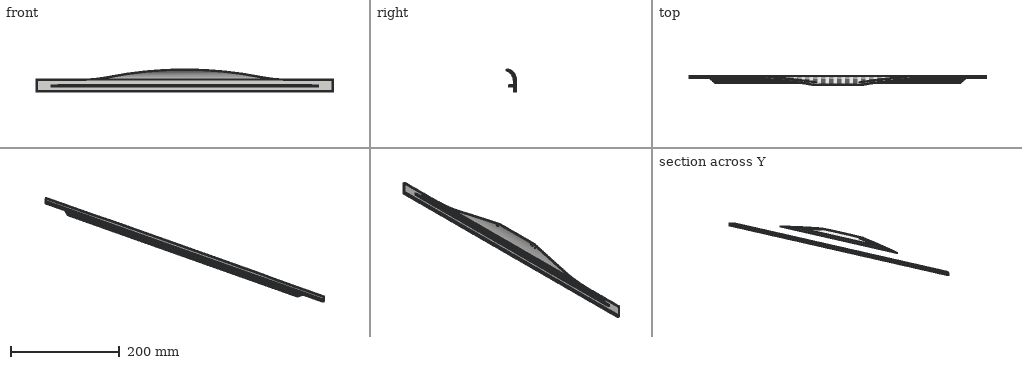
import cadquery as cq
import math

length = 545.0
depth = 17.0
height = 40.0

plate_thickness = 3.57
plate_height = 21.5

hood_root_thickness = 4.2
hood_span = 375.0
crest_radius = 720.0
crest_overshoot = 0.1
tip_bevel_depth = 1.4
tip_bevel_height = 1.2

flange_mid_height = 10.0
flange_web_thickness = 1.8
flange_reach = 13.0
flange_root_inset = 37.0
flange_front_inset = 47.5
barb_count = 3
barb_pitch = 2.0
barb_height = 0.7
barb_front_land = 0.5

ridge_inset = 27.0
ridge_projection = 0.8

trim_margin = 5.0

back_y = depth / 2
plate_front_y = back_y - plate_thickness
hood_front_y = back_y - hood_root_thickness
tip_y = back_y - depth
bottom_z = -height / 2
plate_top_z = bottom_z + plate_height
crest_z = height / 2
flange_mid_z = bottom_z + flange_mid_height
flange_front_y = back_y - flange_reach


def curl_mid_point(start_y, end_y, end_z):
    """Halfway point of an arc that leaves the plate top vertically and ends at (end_y, end_z)."""
    run = start_y - end_y
    rise = end_z - plate_top_z
    radius = (run**2 + rise**2) / (2 * run)
    half_angle = math.atan2(rise, radius - run) / 2
    return (
        start_y - radius * (1 - math.cos(half_angle)),
        plate_top_z + radius * math.sin(half_angle),
    )


def curled_sheet():
    """Left half of the plate and hood, before the hood is trimmed to its wave."""
    outer_tip = (tip_y + tip_bevel_depth, crest_z)
    inner_tip = (tip_y, crest_z - tip_bevel_height)
    return (
        cq.Workplane("YZ")
        .moveTo(back_y, bottom_z)
        .lineTo(back_y, plate_top_z)
        .threePointArc(curl_mid_point(back_y, *outer_tip), outer_tip)
        .lineTo(*inner_tip)
        .threePointArc(curl_mid_point(hood_front_y, *inner_tip), (hood_front_y, plate_top_z))
        .lineTo(plate_front_y, plate_top_z)
        .lineTo(plate_front_y, bottom_z)
        .close()
        .extrude(-length / 2)
    )


def wave_outline():
    """Left half of the front outline: a convex crest blended into the plate top by a concave arc."""
    half_length = length / 2 + trim_margin
    floor_z = bottom_z - trim_margin
    half_span = hood_span / 2
    peak_z = crest_z + crest_overshoot
    turn = 2 * math.atan2(peak_z - plate_top_z, half_span)
    blend_radius = half_span / math.sin(turn) - crest_radius
    join_x = crest_radius * math.sin(turn)
    join_z = peak_z - crest_radius * (1 - math.cos(turn))
    crest_mid_x = crest_radius * math.sin(turn / 2)
    crest_mid_z = peak_z - crest_radius * (1 - math.cos(turn / 2))
    blend_mid_x = half_span - blend_radius * math.sin(turn / 2)
    blend_mid_z = plate_top_z + blend_radius * (1 - math.cos(turn / 2))
    return (
        cq.Workplane("XZ")
        .moveTo(-half_length, floor_z)
        .lineTo(-half_length, plate_top_z)
        .lineTo(-half_span, plate_top_z)
        .threePointArc((-blend_mid_x, blend_mid_z), (-join_x, join_z))
        .threePointArc((-crest_mid_x, crest_mid_z), (0, peak_z))
        .lineTo(0, floor_z)
        .close()
        .extrude(depth, both=True)
    )


def barbed_section():
    """Flange cross-section: a thin web with saw-tooth barbs above and below."""
    web_half = flange_web_thickness / 2
    barb_half = web_half + barb_height
    first_barb_y = flange_front_y + barb_front_land + barb_count * barb_pitch
    upper = [(plate_front_y, web_half)]
    for index in range(barb_count):
        barb_back_y = first_barb_y - index * barb_pitch
        upper.append((barb_back_y, web_half))
        upper.append((barb_back_y, barb_half))
    upper.append((flange_front_y + barb_front_land, web_half))
    upper.append((flange_front_y, web_half))
    lower = [(y, -z) for y, z in reversed(upper)]
    return (
        cq.Workplane("YZ", origin=(0, 0, flange_mid_z))
        .polyline(upper + lower)
        .close()
        .extrude(length / 2, both=True)
    )


def flange():
    """Barbed flange trimmed to a trapezoid in plan."""
    root_half = length / 2 - flange_root_inset
    front_half = length / 2 - flange_front_inset
    plan = (
        cq.Workplane("XY")
        .moveTo(-root_half, plate_front_y)
        .lineTo(-front_half, flange_front_y)
        .lineTo(front_half, flange_front_y)
        .lineTo(root_half, plate_front_y)
        .close()
        .extrude(height, both=True)
    )
    return barbed_section().intersect(plan)


def root_ridge():
    """Low ridge on the plate front that runs past both ends of the flange."""
    ridge_mid_y = plate_front_y - ridge_projection / 2
    return cq.Workplane("XY", origin=(0, ridge_mid_y, flange_mid_z)).box(
        length - 2 * ridge_inset, ridge_projection, flange_web_thickness
    )


left_half = curled_sheet().intersect(wave_outline())
hood_and_plate = left_half.union(left_half.mirror("YZ")).clean()
result = hood_and_plate.union(flange()).union(root_ridge())